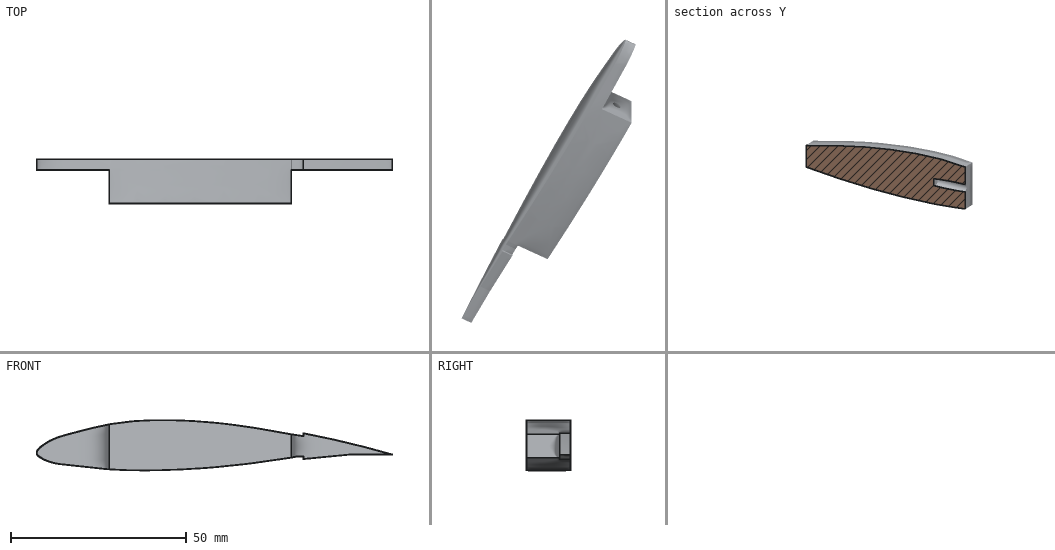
import cadquery as cq

chord = 101.5
total_depth = 12.7
plate_thickness = 3.1
block_depth = total_depth - plate_thickness
block_start = 20.7
block_length = 52.0
block_end = block_start + block_length

nose = (0, 0.3)
upper_curve = [(2, 2.8), (9.3, 5.9), (block_start, 8.6), (36.6, 9.8), (53.4, 8.8), (block_end, 5.8)]
lower_curve = [(2, -1.4), (9.3, -3.0), (block_start, -4.3), (31.5, -4.6), (51.0, -3.7), (block_end, -0.9)]

tail_start = 76.1
neck_top = 5.3
neck_bottom_start = (74.1, -0.6)
tail_top = 6.1
tail_mid = (88.8, 3.4)
tail_bottom = -1.3
flat_start = 89.9

hole_diameter = 2.3
hole_depth = 10.2
hole_drift = 1.2
hole_height = 2.1


def airfoil_prism(depth):
    """Airfoil from nose to tail, extruded from the front plane towards +Y."""
    main_curve = lower_curve[::-1] + [nose] + upper_curve
    return (
        cq.Workplane("XZ")
        .spline(main_curve)
        .lineTo(tail_start, neck_top)
        .lineTo(tail_start, tail_top)
        .threePointArc(tail_mid, (chord, 0))
        .lineTo(flat_start, 0)
        .lineTo(tail_start, tail_bottom)
        .lineTo(tail_start, neck_bottom_start[1])
        .lineTo(*neck_bottom_start)
        .close()
        .extrude(-depth)
    )


def end_clearance(start, end):
    """Box that clears the space in front of the plate between two X stations."""
    return (
        cq.Workplane("XY")
        .box(end - start, block_depth, chord, centered=(False, False, True))
        .translate((start, 0, 0))
    )


def slanted_hole():
    """Blind hole running towards +X while drifting towards the front face."""
    mouth = cq.Vector(block_start, block_depth / 2, hole_height)
    slant = cq.Vector(hole_depth, -hole_drift, 0)
    start = mouth - slant.normalized() * hole_diameter
    return cq.Solid.makeCylinder(hole_diameter / 2, slant.Length + hole_diameter, start, slant)


result = (
    airfoil_prism(total_depth)
    .cut(end_clearance(-chord, block_start))
    .cut(end_clearance(block_end, 2 * chord))
    .cut(slanted_hole())
)